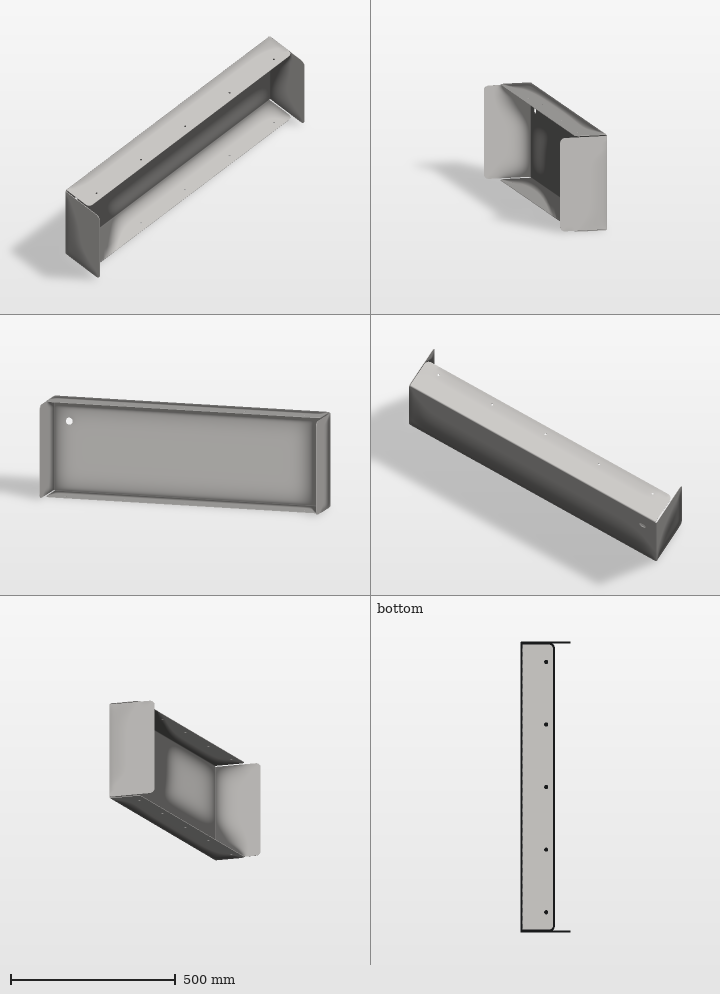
import cadquery as cq

depth = 148.5
length = 879.0
height = 296.0

thickness = 1.5
bend_radius = 3.95
inner_radius = bend_radius - thickness
corner_notch = bend_radius

long_flange_depth = 100.0
flange_corner_radius = 15.0

mount_hole_diameter = 6.0
mount_hole_x = 76.5
mount_hole_pitch = 190.0
mount_hole_count = 5

cable_hole_diameter = 22.0
cable_hole_from_end = 49.0
cable_hole_from_top = 77.0


def channel_outline(plane, width, reach, radius, inset):
    """U-channel outline, inset from the outer faces, with two rounded corners."""
    half = width / 2 - inset
    return (
        cq.Workplane(plane)
        .moveTo(reach, -half)
        .lineTo(inset + radius, -half)
        .radiusArc((inset, -half + radius), radius)
        .lineTo(inset, half - radius)
        .radiusArc((inset + radius, half), radius)
        .lineTo(reach, half)
        .close()
    )


def bent_channel(plane, width, reach, span):
    """U-shaped sheet, folded along both sides of the panel at X = 0."""
    flange_span = span - 2 * corner_notch
    outer = channel_outline(plane, width, reach, bend_radius, 0).extrude(flange_span / 2, both=True)
    inner = channel_outline(plane, width, reach, inner_radius, thickness).extrude(span, both=True)
    return outer.cut(inner)


long_channel = bent_channel("XZ", height, long_flange_depth, length)
long_channel = long_channel.edges("|Z and >X").fillet(flange_corner_radius)

end_channel = bent_channel("XY", length, depth, height)
end_channel = end_channel.edges("|Y and >X").fillet(flange_corner_radius)

cover = long_channel.union(end_channel)

mount_holes = (
    cq.Workplane("XY")
    .center(mount_hole_x, 0)
    .rarray(9, mount_hole_pitch, 1, mount_hole_count)
    .circle(mount_hole_diameter / 2)
    .extrude(height, both=True)
)

cable_hole = (
    cq.Workplane("YZ")
    .center(-length / 2 + cable_hole_from_end, height / 2 - cable_hole_from_top)
    .circle(cable_hole_diameter / 2)
    .extrude(2 * thickness)
)

result = cover.cut(mount_holes).cut(cable_hole)